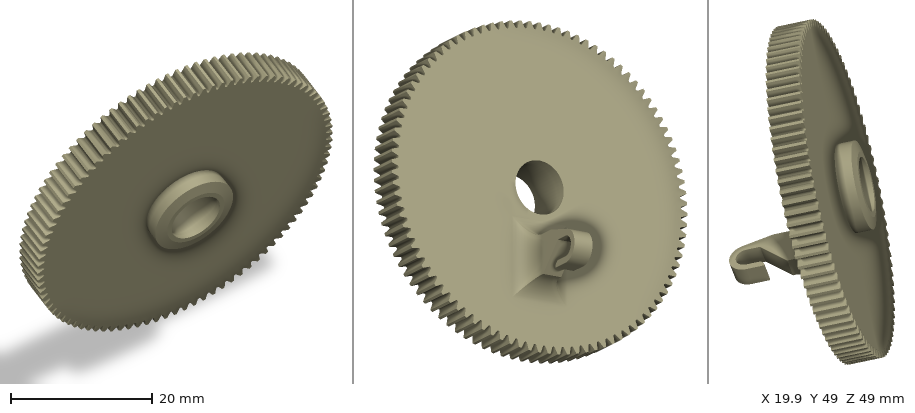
import cadquery as cq
import math

tooth_count = 96
outer_radius = 24.5
module = 2 * outer_radius / (tooth_count + 2)
pitch_radius = module * tooth_count / 2
root_depth_factor = 1.2
root_radius = pitch_radius - root_depth_factor * module
flank_foot_radius = pitch_radius - module
pressure_angle = math.radians(20)
gear_width = 5.0
bore_diameter = 8.0

hub_radius = 6.45
hub_length = 2.9
cone_length = 0.45
hub_tip_radius = 4.75

hook_width = 3.0
hook_reach = 12.0
hook_top = -8.0
hook_bottom = -14.0
flare_radius = 3.0
plate_flat_length = 2.5
hook_outer_radius = 2.5
hook_inner_radius = 1.5
throat_corner_x = -7.45
lip_end_x = -6.85
lip_chamfer = 0.5


def polar(radius, angle):
    return (radius * math.cos(angle), radius * math.sin(angle))


def half_tooth_angle(radius):
    """Half the angle spanned by a straight-flanked tooth at a given radius."""
    half_thickness = math.pi * module / 4 - (radius - pitch_radius) * math.tan(pressure_angle)
    return half_thickness / radius


def make_gear():
    pitch_angle = 2 * math.pi / tooth_count
    tip_half = half_tooth_angle(outer_radius)
    foot_half = half_tooth_angle(flank_foot_radius)
    outline = cq.Workplane("YZ").moveTo(*polar(flank_foot_radius, -foot_half))
    for tooth in range(tooth_count):
        middle = tooth * pitch_angle
        next_foot = middle + pitch_angle - foot_half
        outline = (
            outline.lineTo(*polar(outer_radius, middle - tip_half))
            .threePointArc(polar(outer_radius, middle), polar(outer_radius, middle + tip_half))
            .lineTo(*polar(flank_foot_radius, middle + foot_half))
            .threePointArc(
                polar(root_radius, middle + pitch_angle / 2),
                polar(flank_foot_radius, next_foot),
            )
        )
    return outline.close().extrude(gear_width)


def make_hub():
    hub_end = gear_width + hub_length
    profile = [
        (0, 0),
        (0, hub_radius),
        (hub_end - cone_length, hub_radius),
        (hub_end, hub_tip_radius),
        (hub_end, 0),
    ]
    return cq.Workplane("XY").polyline(profile).close().revolve(360, (0, 0, 0), (1, 0, 0))


def make_hook():
    center_x = hook_outer_radius - hook_reach
    center_z = hook_bottom + hook_outer_radius
    slope_start_x = -flare_radius - plate_flat_length

    run = slope_start_x - center_x
    rise = hook_top - center_z
    tangent_angle = math.atan2(rise, run) + math.acos(hook_outer_radius / math.hypot(run, rise))
    tangent_x, tangent_z = polar(hook_outer_radius, tangent_angle)

    inner_top = center_z + hook_inner_radius
    inner_bottom = center_z - hook_inner_radius
    throat_foot_x = throat_corner_x + inner_top - hook_bottom

    bend_middle_x, bend_middle_z = polar(hook_outer_radius, (tangent_angle + 1.5 * math.pi) / 2)
    return (
        cq.Workplane("XZ")
        .moveTo(0, hook_top)
        .lineTo(slope_start_x, hook_top)
        .lineTo(center_x + tangent_x, center_z + tangent_z)
        .threePointArc(
            (center_x + bend_middle_x, center_z + bend_middle_z),
            (center_x, hook_bottom),
        )
        .lineTo(lip_end_x, hook_bottom)
        .lineTo(lip_end_x, inner_bottom - lip_chamfer)
        .lineTo(lip_end_x - lip_chamfer, inner_bottom)
        .lineTo(center_x, inner_bottom)
        .threePointArc((center_x - hook_inner_radius, center_z), (center_x, inner_top))
        .lineTo(throat_corner_x, inner_top)
        .lineTo(throat_foot_x, hook_bottom)
        .lineTo(0, hook_bottom)
        .close()
        .extrude(hook_width / 2, both=True)
    )


def flare_prism(plane, low, high, half_depth):
    """Prism whose two sides sweep outwards as quarter arcs to meet the gear face."""
    offset = flare_radius * (1 - math.sqrt(0.5))
    return (
        cq.Workplane(plane)
        .moveTo(-flare_radius, low)
        .threePointArc((-offset, low - offset), (0, low - flare_radius))
        .lineTo(0, high + flare_radius)
        .threePointArc((-offset, high + offset), (-flare_radius, high))
        .close()
        .extrude(half_depth, both=True)
    )


def make_flare():
    """Concave flare with mitred corners at the root of the hook plate."""
    vertical = flare_prism("XZ", hook_bottom, hook_top, hook_width / 2 + flare_radius)
    sideways = flare_prism("XY", -hook_width / 2, hook_width / 2, outer_radius)
    return vertical.intersect(sideways)


bore = cq.Workplane("YZ").circle(bore_diameter / 2).extrude(gear_width + hub_length)
result = make_gear().union(make_hub()).union(make_flare()).union(make_hook()).cut(bore)